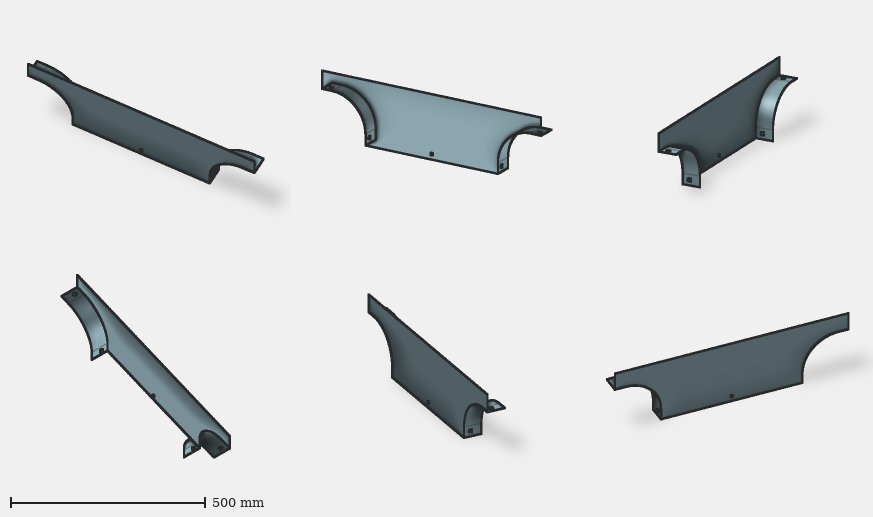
import cadquery as cq

length = 660.0
depth = 51.0
height = 180.0
sheet = 1.0
tab = 30.5
bend_radius = 99.5
web_hole_diameter = 7.0
slot_width = 8.5
slot_length = 9.0
slot_start = 14.5

half_length = length / 2
half_bottom = half_length - tab - bend_radius
shoulder = tab + bend_radius
hole_inset = tab / 2


def corner_cutout(radius):
    """Region outside the lower-left bend, extruded through the full depth."""
    edge_x = -half_length + tab + radius
    return (
        cq.Workplane("XZ")
        .moveTo(-half_length, 0)
        .lineTo(edge_x, 0)
        .lineTo(edge_x, tab)
        .radiusArc((-half_length + tab, tab + radius), -radius)
        .lineTo(-half_length, tab + radius)
        .close()
        .extrude(-depth)
    )


def curved_flange():
    """Left flange: the sheet between the inner and outer bend profiles."""
    envelope = cq.Workplane("XY").box(
        half_length - half_bottom + sheet, depth, shoulder + sheet, centered=False
    ).translate((-half_length, 0, 0))
    inner = corner_cutout(bend_radius)
    outer = corner_cutout(bend_radius + sheet)
    return envelope.intersect(outer).cut(inner)


def web():
    """Flat front plate, trimmed along both bends."""
    plate = cq.Workplane("XY").box(length, sheet, height, centered=(True, False, False))
    cutout = corner_cutout(bend_radius)
    return plate.cut(cutout).cut(cutout.mirror("YZ"))


def slot_cutter():
    """Vertical cutter with one round and one flat end, centred on X = 0 and Z = 0."""
    radius = slot_width / 2
    arc_end = slot_start + radius
    flat_end = slot_start + slot_length
    return (
        cq.Workplane("XY")
        .moveTo(-radius, flat_end)
        .lineTo(-radius, arc_end)
        .threePointArc((0, slot_start), (radius, arc_end))
        .lineTo(radius, flat_end)
        .close()
        .extrude(sheet, both=True)
    )


slot = slot_cutter()
end_slot = slot.translate((hole_inset - half_length, 0, shoulder + sheet / 2))
lower_slot = slot.rotate((0, 0, 0), (0, 1, 0), 90).translate((-half_bottom + sheet / 2, 0, hole_inset))
left_flange = curved_flange().cut(end_slot).cut(lower_slot)

web_hole = (
    cq.Workplane("XZ")
    .center(0, hole_inset)
    .circle(web_hole_diameter / 2)
    .extrude(-sheet)
)

result = web().cut(web_hole).union(left_flange).union(left_flange.mirror("YZ"))